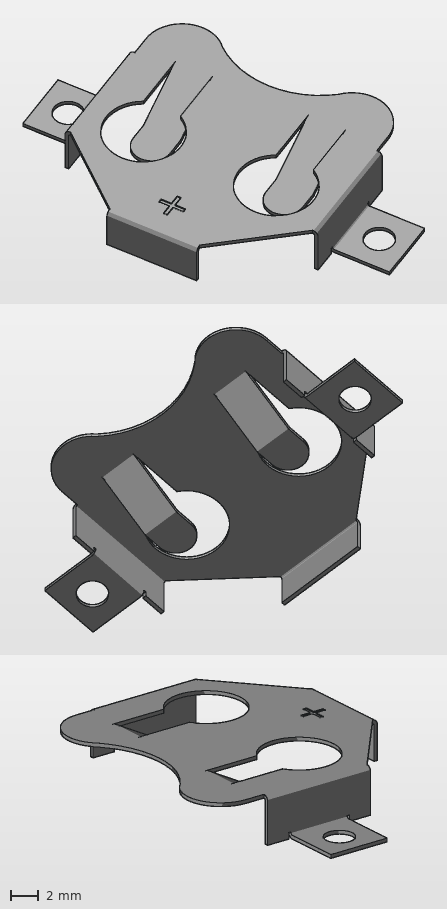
import cadquery as cq
import math


total_length = 30.5
total_height = 3.85
sheet = 0.3
bend_inside = 0.15
bend_outside = bend_inside + sheet

side_reach = 10.52
side_width = 9.35
tab_width = 5.12
tab_hole_diameter = 2.35
tab_hole_x = 12.93
relief_gap = 0.18
relief_height = 0.5

front_reach = 10.5
front_width = 7.47
front_depth = 3.25

plate_half_width = side_reach - bend_outside
plate_front_y = bend_outside - front_reach
plate_back_y = 9.3
lobe_radius = 3.0
scoop_bottom_y = 6.53

finger_x = 5.52
finger_width = 3.08
finger_apex_y = 5.2
finger_crease_y = 0.65
finger_tip_y = -2.38
finger_drop = 2.47
root_bend_outside = 0.6
finger_slope = math.atan2(finger_drop, finger_apex_y - finger_crease_y)
half_slope_tangent = math.tan(finger_slope / 2)
finger_root_y = finger_apex_y + root_bend_outside * half_slope_tangent
window_diameter = 6.2
window_y = -2.0

cross_y = -7.5
cross_span = 2.0
cross_stroke = 0.3
cross_depth = 0.1


def make_plate():
    """Flat plate: two round lobes joined by a tangent scoop, tapering to the front."""
    lobe_x = plate_half_width - lobe_radius
    lobe_y = plate_back_y - lobe_radius
    gap = lobe_radius + scoop_bottom_y - lobe_y
    scoop_rise = (lobe_x**2 - gap**2) / (2 * gap)
    lobe_distance = math.hypot(lobe_x, scoop_rise)
    touch_x = lobe_x * (1 - lobe_radius / lobe_distance)
    touch_y = lobe_y + scoop_rise * lobe_radius / lobe_distance
    side_front_y = -side_width / 2
    return (
        cq.Workplane("XY")
        .moveTo(-front_width / 2, plate_front_y)
        .lineTo(front_width / 2, plate_front_y)
        .lineTo(plate_half_width, side_front_y)
        .lineTo(plate_half_width, lobe_y)
        .threePointArc((lobe_x, plate_back_y), (touch_x, touch_y))
        .threePointArc((0, scoop_bottom_y), (-touch_x, touch_y))
        .threePointArc((-lobe_x, plate_back_y), (-plate_half_width, lobe_y))
        .lineTo(-plate_half_width, side_front_y)
        .close()
        .extrude(-sheet)
    )


def make_flange(reach, width, depth):
    """Flange on the +X side, bent down from the plate and rooted inside it."""
    bend_start = reach - bend_outside
    root = bend_start - sheet
    return (
        cq.Workplane("XZ")
        .moveTo(root, 0)
        .lineTo(bend_start, 0)
        .tangentArcPoint((reach, -bend_outside), relative=False)
        .lineTo(reach, -depth)
        .lineTo(reach - sheet, -depth)
        .lineTo(reach - sheet, -bend_outside)
        .tangentArcPoint((bend_start, -sheet), relative=False)
        .lineTo(root, -sheet)
        .close()
        .extrude(width / 2, both=True)
    )


def make_tab():
    """Mounting tab on the +X side, bent outward from the bottom of the flange."""
    inner_x = side_reach - sheet
    flat_x = inner_x + bend_outside
    end_x = total_length / 2
    bottom = -total_height
    top = bottom + relief_height
    tab = (
        cq.Workplane("XZ")
        .moveTo(inner_x, top)
        .lineTo(inner_x, bottom + bend_outside)
        .tangentArcPoint((flat_x, bottom), relative=False)
        .lineTo(end_x, bottom)
        .lineTo(end_x, bottom + sheet)
        .lineTo(flat_x, bottom + sheet)
        .tangentArcPoint((side_reach, bottom + bend_outside), relative=False)
        .lineTo(side_reach, top)
        .close()
        .extrude(tab_width / 2, both=True)
    )
    hole = (
        cq.Workplane("XY", origin=(tab_hole_x, 0, bottom))
        .circle(tab_hole_diameter / 2)
        .extrude(sheet)
    )
    return tab.cut(hole)


def make_side():
    """Side flange with a relieved mounting tab, on the +X side."""
    relief = cq.Workplane("XY").box(
        2 * sheet, tab_width + 2 * relief_gap, relief_height, centered=(True, True, False)
    )
    flange = make_flange(side_reach, side_width, total_height)
    return flange.cut(relief.translate((side_reach, 0, -total_height))).union(make_tab())


def make_finger_opening(x):
    """Slot the width of the finger, running into a round window."""
    slot = (
        cq.Workplane("XY")
        .center(x, (finger_root_y + window_y) / 2)
        .rect(finger_width, finger_root_y - window_y)
        .extrude(-sheet)
    )
    window = cq.Workplane("XY").center(x, window_y).circle(window_diameter / 2).extrude(-sheet)
    return slot.union(window)


def make_finger(x):
    """Spring finger sloping down from the slot end to a flat, round-ended tip."""
    root_end_y = finger_root_y + sheet
    mitre = sheet * half_slope_tangent
    root_top = (finger_apex_y, 0)
    root_under = (finger_apex_y + mitre, -sheet)
    crease_top = (finger_crease_y, -finger_drop)
    crease_under = (finger_crease_y + mitre, -finger_drop - sheet)
    strip = (
        cq.Workplane("YZ")
        .moveTo(root_end_y, 0)
        .lineTo(*root_top)
        .lineTo(*crease_top)
        .lineTo(finger_tip_y, -finger_drop)
        .lineTo(finger_tip_y, -finger_drop - sheet)
        .lineTo(*crease_under)
        .lineTo(*root_under)
        .lineTo(root_end_y, -sheet)
        .close()
        .extrude(finger_width / 2, both=True)
    )
    bends = (
        (root_top, root_bend_outside),
        (root_under, root_bend_outside - sheet),
        (crease_top, bend_inside),
        (crease_under, bend_outside),
    )
    for (y, z), radius in bends:
        strip = strip.edges("|X").edges(cq.NearestToPointSelector((0, y, z))).fillet(radius)

    half_width = finger_width / 2
    tip_start_y = finger_tip_y + half_width
    footprint = (
        cq.Workplane("XY")
        .moveTo(half_width, root_end_y)
        .lineTo(half_width, tip_start_y)
        .threePointArc((0, finger_tip_y), (-half_width, tip_start_y))
        .lineTo(-half_width, root_end_y)
        .close()
        .extrude(-total_height)
    )
    return strip.intersect(footprint).translate((x, 0, 0))


def make_cross():
    """Plus sign sunk into the top face."""
    plane = cq.Workplane("XY").center(0, cross_y)
    across = plane.rect(cross_span, cross_stroke).extrude(-cross_depth)
    along = plane.rect(cross_stroke, cross_span).extrude(-cross_depth)
    return across.union(along)


result = make_plate().cut(make_cross())

for x in (-finger_x, finger_x):
    result = result.cut(make_finger_opening(x)).union(make_finger(x))

side = make_side()
for angle in (0, 180):
    result = result.union(side.rotate((0, 0, 0), (0, 0, 1), angle))

front = make_flange(front_reach, front_width, front_depth)
result = result.union(front.rotate((0, 0, 0), (0, 0, 1), -90))